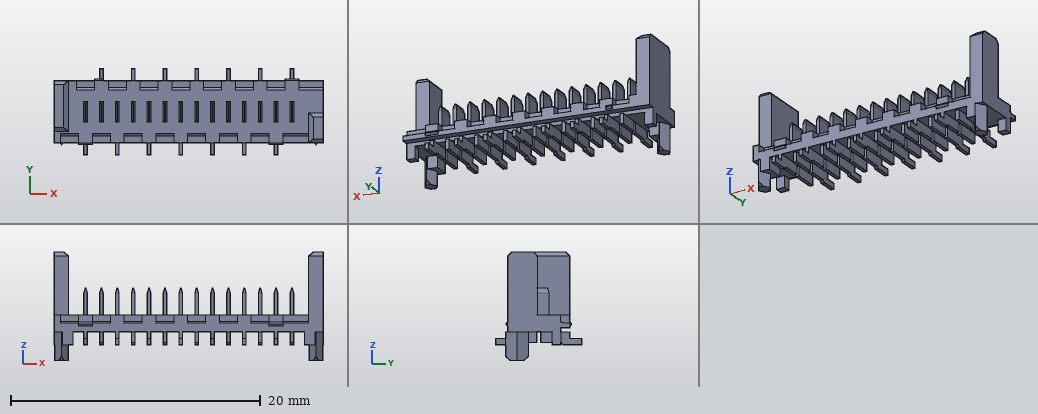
import cadquery as cq
import math

BODY_BOTTOM = 1.05
BODY_TOP = 2.4
WALL_TOP = 7.45
PEG_BOTTOM = -1.25

BODY_LENGTH = 21.56
BODY_WIDTH = 5.0
HALF_LENGTH = BODY_LENGTH / 2
HALF_WIDTH = BODY_WIDTH / 2
RELIEF_TOP = 1.37
RELIEF_DEPTH = 0.72

PIN_COUNT = 14
PITCH = 1.27
ROW_PITCH = 2 * PITCH
PIN_THICKNESS = 0.3
FIRST_PIN_X = -PITCH * (PIN_COUNT - 1) / 2
BLADE_WIDTH = 1.65
BLADE_SHOULDER = 4.15
BLADE_TIP = 4.55
TIP_INSET = 0.12
TAIL_REACH = 3.45
TAIL_THICKNESS = 0.52
TAIL_START = 1.96
LEG_REACH = 2.5
LEG_START = 0.15
LEG_BOTTOM = 0.18
PLAIN_LEG_REACH = 2.28

NOTCH_COUNT = PIN_COUNT // 2 + 1
NOTCH_LENGTH = 1.44
NOTCH_FLOOR = 1.77
NOTCH_DEPTH = 0.77
NOTCH_RAMP_RUN = 0.2
NOTCH_RAMP_RISE = 0.12
LAND_LENGTH = ROW_PITCH - NOTCH_LENGTH
RIDGE_TOP = 1.82
RIDGE_PEAK = 1.69
RIDGE_BOTTOM = 1.5
RIDGE_HEIGHT = 0.14

LEFT_WALL_THICKNESS = 1.17
LEFT_WALL_FRONT = -1.6
RIGHT_WALL_THICKNESS = 1.2
RIGHT_WALL_BACK = -0.1
WALL_BEVEL_HEIGHT = 0.33
WALL_BEVEL_Y = 0.33
WALL_BEVEL_X = 0.4

PEG_X = 10.18
PEG_Y = -1.74
PEG_SIZE_X = 1.1
PEG_SIZE_Y = 1.84
PEG_BEVEL_Y = 0.38
PEG_BEVEL_HEIGHT = 0.33

FRONT_FOOT_INNER = 9.26
FRONT_FOOT_OUTER = 10.12
FRONT_FOOT_DEPTH = 1.6
REAR_FOOT_LENGTH = 0.75
REAR_FOOT_WIDTH = 0.71


def block(x_min, x_max, y_min, y_max, z_min, z_max):
    """Box given by its limits on the three axes."""
    size = (x_max - x_min, y_max - y_min, z_max - z_min)
    return cq.Workplane("XY").box(*size, centered=False).translate((x_min, y_min, z_min))


def profile_along_x(points, x_min, x_max):
    """Outline of (y, z) points extruded from x_min to x_max."""
    return cq.Workplane("YZ").workplane(offset=x_min).polyline(points).close().extrude(x_max - x_min)


def housing_bar():
    bar = block(-HALF_LENGTH, HALF_LENGTH, -HALF_WIDTH, HALF_WIDTH, BODY_BOTTOM, BODY_TOP)
    relief = block(
        -HALF_LENGTH, HALF_LENGTH, HALF_WIDTH - RELIEF_DEPTH, HALF_WIDTH, BODY_BOTTOM, RELIEF_TOP
    )
    return bar.cut(relief)


def edge_notches(first_center, side):
    """Notches in the front (-1) or rear (1) top edge; the last one runs out through the +X end."""
    wall_y = HALF_WIDTH - NOTCH_DEPTH
    outline = [
        (HALF_WIDTH, BODY_TOP),
        (HALF_WIDTH, NOTCH_FLOOR),
        (wall_y + NOTCH_RAMP_RUN, NOTCH_FLOOR),
        (wall_y, NOTCH_FLOOR + NOTCH_RAMP_RISE),
        (wall_y, BODY_TOP),
    ]
    points = [(side * y, z) for y, z in outline]
    notches = cq.Workplane("XY")
    for index in range(NOTCH_COUNT):
        start = first_center - NOTCH_LENGTH / 2 + index * ROW_PITCH
        end = HALF_LENGTH if index == NOTCH_COUNT - 1 else start + NOTCH_LENGTH
        notches = notches.union(profile_along_x(points, start, end))
    return notches


def snap_ridge(land_center, side, length):
    """Small ridge on the front (-1) or rear (1) face, from the -X edge of a land between notches."""
    points = [
        (side * HALF_WIDTH, RIDGE_TOP),
        (side * (HALF_WIDTH + RIDGE_HEIGHT), RIDGE_PEAK),
        (side * HALF_WIDTH, RIDGE_BOTTOM),
    ]
    start = land_center - LAND_LENGTH / 2
    return profile_along_x(points, start, start + length)


def end_wall(thickness, y_min, y_max):
    """Upright wall at the -X end, bevelled at the top on all but its outer face."""
    inner_x = -HALF_LENGTH + thickness
    bevel_start = WALL_TOP - WALL_BEVEL_HEIGHT
    side_outline = [
        (y_min, BODY_BOTTOM),
        (y_max, BODY_BOTTOM),
        (y_max, bevel_start),
        (y_max - WALL_BEVEL_Y, WALL_TOP),
        (y_min + WALL_BEVEL_Y, WALL_TOP),
        (y_min, bevel_start),
    ]
    wall = profile_along_x(side_outline, -HALF_LENGTH, inner_x)
    inner_bevel = (
        cq.Workplane("XZ", origin=(0, y_max, 0))
        .polyline([(inner_x, bevel_start), (inner_x, WALL_TOP), (inner_x - WALL_BEVEL_X, WALL_TOP)])
        .close()
        .extrude(y_max - y_min)
    )
    return wall.cut(inner_bevel)


def left_wall():
    y_max = HALF_WIDTH
    wall = end_wall(LEFT_WALL_THICKNESS, LEFT_WALL_FRONT, y_max)
    relief = block(-HALF_LENGTH, 0, y_max - RELIEF_DEPTH, y_max, BODY_BOTTOM, RELIEF_TOP)
    return wall.cut(relief)


def right_wall():
    return end_wall(RIGHT_WALL_THICKNESS, -HALF_WIDTH, RIGHT_WALL_BACK).mirror("YZ")


def blade(x):
    """Flat contact blade with a tip tapered on all four sides."""
    shank = (
        cq.Workplane("XY", origin=(x, 0, BODY_BOTTOM))
        .rect(PIN_THICKNESS, BLADE_WIDTH)
        .extrude(BLADE_SHOULDER - BODY_BOTTOM)
    )
    tip_height = BLADE_TIP - BLADE_SHOULDER
    taper = math.degrees(math.atan2(TIP_INSET, tip_height))
    tip = (
        cq.Workplane("XY", origin=(x, 0, BLADE_SHOULDER))
        .rect(PIN_THICKNESS, BLADE_WIDTH)
        .extrude(tip_height, taper=taper)
    )
    return shank.union(tip)


def solder_tail(x, side):
    """Leg under the housing with a tail reaching out to the front (-1) or rear (1)."""
    outline = [
        (LEG_START, BODY_BOTTOM),
        (LEG_REACH, BODY_BOTTOM),
        (LEG_REACH, TAIL_THICKNESS),
        (TAIL_REACH, TAIL_THICKNESS),
        (TAIL_REACH, 0),
        (TAIL_START, 0),
        (TAIL_START - LEG_BOTTOM, LEG_BOTTOM),
        (LEG_START, LEG_BOTTOM),
    ]
    points = [(side * y, z) for y, z in outline]
    return profile_along_x(points, x - PIN_THICKNESS / 2, x + PIN_THICKNESS / 2)


def plain_leg(x, side):
    """Short leg without a tail, under the front (-1) or rear (1) half of the housing."""
    outline = [
        (LEG_START, BODY_BOTTOM),
        (PLAIN_LEG_REACH, BODY_BOTTOM),
        (PLAIN_LEG_REACH, LEG_BOTTOM),
        (LEG_START, LEG_BOTTOM),
    ]
    points = [(side * y, z) for y, z in outline]
    return profile_along_x(points, x - PIN_THICKNESS / 2, x + PIN_THICKNESS / 2)


def peg():
    """Diamond peg under the -X end, bevelled below at its front and rear corners."""
    half_x = PEG_SIZE_X / 2
    half_y = PEG_SIZE_Y / 2
    diamond = (
        cq.Workplane("XY", origin=(-PEG_X, PEG_Y, PEG_BOTTOM))
        .polyline([(-half_x, 0), (0, -half_y), (half_x, 0), (0, half_y)])
        .close()
        .extrude(BODY_BOTTOM - PEG_BOTTOM)
    )
    front = PEG_Y - half_y
    back = PEG_Y + half_y
    envelope = profile_along_x(
        [
            (front, BODY_BOTTOM),
            (front, PEG_BOTTOM + PEG_BEVEL_HEIGHT),
            (front + PEG_BEVEL_Y, PEG_BOTTOM),
            (back - PEG_BEVEL_Y, PEG_BOTTOM),
            (back, PEG_BOTTOM + PEG_BEVEL_HEIGHT),
            (back, BODY_BOTTOM),
        ],
        -PEG_X - half_x,
        -PEG_X + half_x,
    )
    return diamond.intersect(envelope)


def end_supports():
    """Peg, front foot and rear foot under the -X end."""
    front_foot = block(
        -FRONT_FOOT_OUTER,
        -FRONT_FOOT_INNER,
        -HALF_WIDTH,
        -HALF_WIDTH + FRONT_FOOT_DEPTH,
        0,
        BODY_BOTTOM,
    )
    rear_foot_back = HALF_WIDTH - RELIEF_DEPTH
    rear_foot = block(
        -HALF_LENGTH,
        -HALF_LENGTH + REAR_FOOT_LENGTH,
        rear_foot_back - REAR_FOOT_WIDTH,
        rear_foot_back,
        0,
        BODY_BOTTOM,
    )
    return peg().union(front_foot).union(rear_foot)


part = housing_bar()
part = part.cut(edge_notches(FIRST_PIN_X - PITCH, -1))
part = part.cut(edge_notches(FIRST_PIN_X, 1))
part = part.union(left_wall()).union(right_wall())

LAST_PIN_X = -FIRST_PIN_X
part = part.union(snap_ridge(FIRST_PIN_X, -1, LAND_LENGTH))
part = part.union(snap_ridge(LAST_PIN_X - PITCH, -1, LAND_LENGTH))
part = part.union(snap_ridge(FIRST_PIN_X + PITCH, 1, LAND_LENGTH / 2))
part = part.union(snap_ridge(LAST_PIN_X, 1, LAND_LENGTH))

for pin in range(PIN_COUNT):
    pin_x = FIRST_PIN_X + pin * PITCH
    tail_side = -1 if pin % 2 == 0 else 1
    part = part.union(blade(pin_x))
    part = part.union(solder_tail(pin_x, tail_side))
    part = part.union(plain_leg(pin_x, -tail_side))

supports = end_supports()
result = part.union(supports).union(supports.mirror("YZ"))